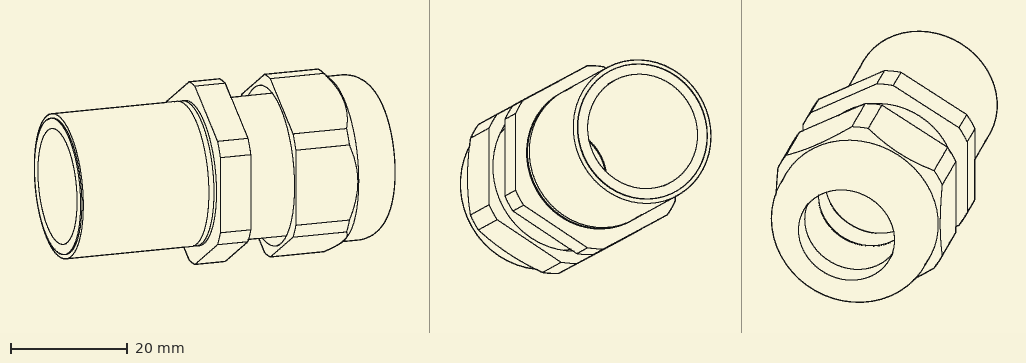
import cadquery as cq
import math


overall_length = 57.7
spigot_end = 23.1
flange_start = 24.45
flange_end = 30.0
nut_start = 38.2
nut_chamfer_start = 47.95
nut_chamfer_end = 49.75

hex_across_flats = 29.0
hex_corner_radius = 16.0
spigot_radius = 12.5
relief_radius = 11.75
spigot_tip_radius = 11.75
spigot_tip_length = 0.25
relief_floor_length = 0.2
barrel_radius = 12.3
cap_radius = 14.25
cap_rounding = 4.5

bore_radius = 10.0
throat_radius = 8.65
taper_angle = math.radians(30)
taper_blend_radius = 2.3
taper_start = 34.6
nut_skirt_radius = 13.85
nut_skirt_end = 46.15
cap_lip_start = overall_length - cap_rounding
seal_radius = bore_radius
seal_bore_radius = 8.5
seal_start = 43.3


def revolve_profile(points):
    """Revolve a closed (radius, y) outline about the Y axis."""
    return cq.Workplane("XY").polyline(points).close().revolve(360, (0, 0, 0), (0, 1, 0))


def cylinder(radius, start, end):
    return revolve_profile([(0, start), (radius, start), (radius, end), (0, end)])


def hex_prism(start, end):
    """Hexagon with flats facing +X and -X and its corners turned down to a cylinder."""
    across_corners = hex_across_flats / math.cos(math.radians(30))
    prism = (
        cq.Workplane("XZ", origin=(0, start, 0))
        .transformed(rotate=(0, 0, 90))
        .polygon(6, across_corners)
        .extrude(start - end)
    )
    return prism.intersect(cylinder(hex_corner_radius, start, end))


def make_body_outside():
    """Spigot with its tip step, relief groove with a flared side, hexagon flange and barrel."""
    relief_depth = spigot_radius - relief_radius
    flare_start = spigot_end + relief_floor_length
    flare_end = flare_start + relief_depth
    turned = (
        cq.Workplane("XY")
        .lineTo(spigot_tip_radius, 0)
        .lineTo(spigot_tip_radius, spigot_tip_length)
        .lineTo(spigot_radius, spigot_tip_length)
        .lineTo(spigot_radius, spigot_end)
        .lineTo(relief_radius, spigot_end)
        .lineTo(relief_radius, flare_start)
        .tangentArcPoint((spigot_radius, flare_end), relative=False)
        .lineTo(spigot_radius, flange_start)
        .lineTo(barrel_radius, flange_start)
        .lineTo(barrel_radius, cap_lip_start)
        .lineTo(0, cap_lip_start)
        .close()
        .revolve(360, (0, 0, 0), (0, 1, 0))
    )
    return turned.union(hex_prism(flange_start, flange_end))


def make_body_bore():
    """Bore narrowing to a throat through a taper that blends smoothly into both ends."""
    blend_step = taper_blend_radius * (1 - math.cos(taper_angle))
    blend_length = taper_blend_radius * math.sin(taper_angle)
    cone_start_radius = bore_radius - blend_step
    cone_end_radius = throat_radius + blend_step
    cone_start = taper_start + blend_length
    cone_end = cone_start + (cone_start_radius - cone_end_radius) / math.tan(taper_angle)
    throat_start = cone_end + blend_length
    return (
        cq.Workplane("XY")
        .lineTo(bore_radius, 0)
        .lineTo(bore_radius, taper_start)
        .tangentArcPoint((cone_start_radius, cone_start), relative=False)
        .lineTo(cone_end_radius, cone_end)
        .tangentArcPoint((throat_radius, throat_start), relative=False)
        .lineTo(throat_radius, seal_start)
        .lineTo(0, seal_start)
        .close()
        .revolve(360, (0, 0, 0), (0, 1, 0))
    )


def make_body():
    seal_seat = cylinder(seal_radius, seal_start, cap_lip_start)
    return make_body_outside().cut(make_body_bore()).cut(seal_seat)


def make_cap_nut():
    """Chamfered hexagon with a domed cap, hollowed to fit over the barrel."""
    chamfer_cone = revolve_profile([
        (0, nut_start),
        (hex_corner_radius, nut_start),
        (hex_corner_radius, nut_chamfer_start),
        (cap_radius, nut_chamfer_end),
        (0, nut_chamfer_end),
    ])
    hexagon = hex_prism(nut_start, nut_chamfer_end).intersect(chamfer_cone)
    dome = cylinder(cap_radius, nut_start, overall_length).faces(">Y").edges().fillet(cap_rounding)
    skirt = cylinder(nut_skirt_radius, nut_start, nut_skirt_end)
    socket = cylinder(barrel_radius, nut_start, cap_lip_start)
    opening = cylinder(seal_bore_radius, cap_lip_start, overall_length)
    return hexagon.union(dome).cut(skirt).cut(socket).cut(opening)


def make_seal():
    """Plain ring seated in the barrel and held by the lip of the cap."""
    ring = cylinder(seal_radius, seal_start, cap_lip_start)
    return ring.cut(cylinder(seal_bore_radius, seal_start, cap_lip_start))


body = make_body()
cap_nut = make_cap_nut()
seal = make_seal()

result = cq.Compound.makeCompound([body.val(), cap_nut.val(), seal.val()])